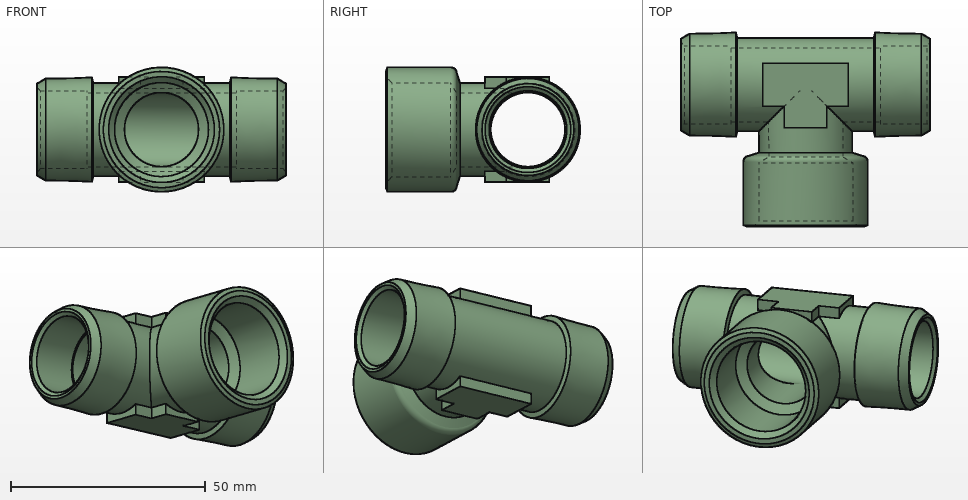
import cadquery as cq

body_radius = 12.0
through_radius = 9.505

run_half_length = 32.0
run_face_radius = 11.8
run_nose_length = 2.3
run_nose_radius = 13.1
run_waist_radius = 13.2
run_crest_radius = 13.45
run_crest_x = 17.85
run_collar_inner_x = 17.5
run_bore_radius = 10.0
run_bore_depth = 12.8
run_mouth_radius = 11.0
run_mouth_depth = 0.8

branch_length = 36.5
socket_start = 17.4
socket_cone_end = 18.25
socket_cone_radius = 14.6
socket_round_end = 19.65
socket_round_mid_radius = 15.55
socket_round_mid = 18.7
socket_radius = 16.0
socket_rim_radius = 14.9
socket_rim_length = 0.45
socket_bore_radius = 12.065
socket_bore_depth = 16.5
socket_bottom_cone_length = 1.55
socket_mouth_radius = 13.6
socket_mouth_depth = 1.55

pad_module = 5.5
pad_height = 13.5


def run_end():
    """Solid collar on the +X end of the run, turned about X."""
    nose_x = run_half_length - run_nose_length
    waist_x = (nose_x + run_crest_x) / 2
    return (
        cq.Workplane("XY")
        .moveTo(run_collar_inner_x, 0)
        .lineTo(run_half_length, 0)
        .lineTo(run_half_length, run_face_radius)
        .lineTo(nose_x, run_nose_radius)
        .threePointArc((waist_x, run_waist_radius), (run_crest_x, run_crest_radius))
        .lineTo(run_collar_inner_x, body_radius)
        .close()
        .revolve(360, (0, 0), (1, 0))
    )


def run_end_bore():
    """Counterbore with a conical mouth on the +X end of the run."""
    step_x = run_half_length - run_bore_depth
    return (
        cq.Workplane("XY")
        .moveTo(step_x, 0)
        .lineTo(run_half_length, 0)
        .lineTo(run_half_length, run_mouth_radius)
        .lineTo(run_half_length - run_mouth_depth, run_bore_radius)
        .lineTo(step_x, run_bore_radius)
        .close()
        .revolve(360, (0, 0), (1, 0))
    )


def run_cylinder(radius, half_length):
    """Plain cylinder along X, centred on the crossing."""
    return cq.Workplane("YZ").circle(radius).extrude(half_length, both=True)


def branch():
    """Solid branch neck and socket, turned about Y."""
    return (
        cq.Workplane("XY")
        .lineTo(body_radius, 0)
        .lineTo(body_radius, -socket_start)
        .lineTo(socket_cone_radius, -socket_cone_end)
        .threePointArc(
            (socket_round_mid_radius, -socket_round_mid),
            (socket_radius, -socket_round_end),
        )
        .lineTo(socket_radius, socket_rim_length - branch_length)
        .lineTo(socket_rim_radius, -branch_length)
        .lineTo(0, -branch_length)
        .close()
        .revolve(360, (0, 0), (0, 1))
    )


def branch_bore():
    """Socket bore with conical mouth and bottom, opening into the run."""
    bottom_y = socket_bore_depth - branch_length
    return (
        cq.Workplane("XY")
        .lineTo(through_radius, 0)
        .lineTo(through_radius, bottom_y + socket_bottom_cone_length)
        .lineTo(socket_bore_radius, bottom_y)
        .lineTo(socket_bore_radius, socket_mouth_depth - branch_length)
        .lineTo(socket_mouth_radius, -branch_length)
        .lineTo(0, -branch_length)
        .close()
        .revolve(360, (0, 0), (0, 1))
    )


def wrench_pads():
    """T-shaped block through the crossing; its ends form both flats."""
    bar = cq.Workplane("XY").box(4 * pad_module, 2 * pad_module, 2 * pad_height)
    stem = (
        cq.Workplane("XY")
        .box(2 * pad_module, 2 * pad_module, 2 * pad_height)
        .translate((0, -pad_module, 0))
    )
    return bar.union(stem)


def both_ends(half):
    return half.union(half.mirror("YZ"))


solid_tee = (
    run_cylinder(body_radius, run_collar_inner_x)
    .union(both_ends(run_end()))
    .union(branch())
    .union(wrench_pads())
)
result = (
    solid_tee.cut(run_cylinder(through_radius, run_half_length))
    .cut(both_ends(run_end_bore()))
    .cut(branch_bore())
)